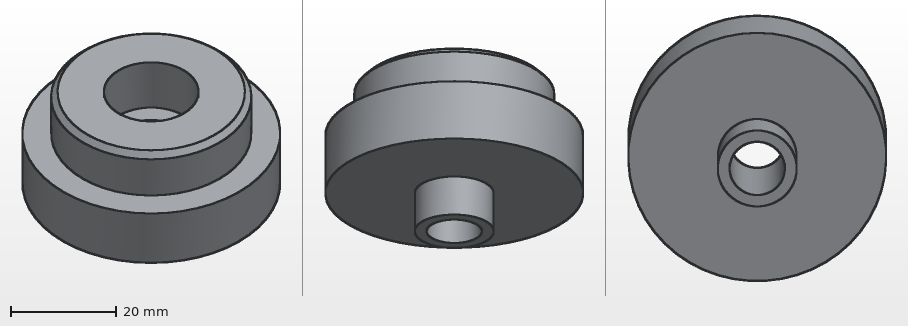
import cadquery as cq

flange_diameter = 49.0
boss_diameter = 38.0
stem_diameter = 15.0

stem_height = 8.0
flange_height = 12.0
boss_height = 10.0
boss_chamfer = 1.22

hole_diameter = 10.5
counterbore_diameter = 18.0
counterbore_depth = 11.0

body = (
    cq.Workplane("XY")
    .circle(stem_diameter / 2)
    .extrude(stem_height)
    .faces(">Z").workplane()
    .circle(flange_diameter / 2)
    .extrude(flange_height)
    .faces(">Z").workplane()
    .circle(boss_diameter / 2)
    .extrude(boss_height)
    .faces(">Z").edges()
    .chamfer(boss_chamfer)
)

result = (
    body.faces(">Z").workplane()
    .cboreHole(hole_diameter, counterbore_diameter, counterbore_depth)
)